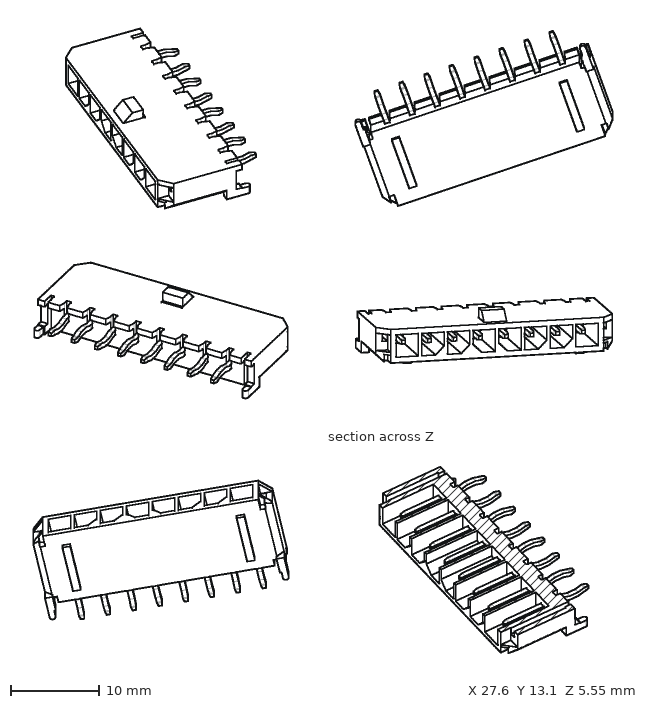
import cadquery as cq

length = 27.65
tail_end_y = 13.08
foot_height = 0.5
housing_top = 4.42
latch_top = 5.55
wall = 0.65
roof_back_y = 9.9
body_back_y = 9.18
roof_underside = 3.68

contact_count = 8
row_span = 21.01
pitch = row_span / (contact_count - 1)
contact_size = 0.6
contact_front_y = 2.2
cavity_size = housing_top - foot_height - 2 * wall
cavity_depth = 6.9
cavity_key = 1.0
key_sides = [0, 1, 1, -1, -1, 1, 1, 0]
row_z = (foot_height + housing_top) / 2
row_x = [(i - (contact_count - 1) / 2) * pitch for i in range(contact_count)]

kink_rise = 0.263
kink_y = [9.65, 10.48, 11.59, 12.41]
tip_length = 0.53
tip_size = 0.41

contact_slot_y = 8.57
notch_mouth = 1.0

corner_size = 1.38
pocket_floor = 1.75
pocket_roof = housing_top - wall
relief_x = 0.77
relief_top = 1.4

foot_width = 0.88
foot_front_y = 8.0
foot_top = 1.08
bevel = 0.83
slot_inner_x = 1.33
slot_front_y = 8.4
toe_width = 0.7
toe_top = 1.0
toe_end_y = 11.0
channel_outer_x = 0.72
channel_floor = 2.76

rib_width = 0.9
rib_x = 10.06
rib_front_y = 1.65
rib_back_y = 7.7

latch_width = 2.63
latch_front_y = 0.83
latch_crest_y = 2.0
latch_back_y = 3.32
recess_back_y = 3.6
recess_depth = 0.15


def block(x_range, y_range, z_range):
    """Box spanning the given ranges."""
    spans = [r[1] - r[0] for r in (x_range, y_range, z_range)]
    return cq.Workplane("XY").box(*spans, centered=False).translate((x_range[0], y_range[0], z_range[0]))


def side_profile(points, width):
    """Extrude a (Y, Z) outline along X, centred on X = 0."""
    return cq.Workplane("YZ").polyline(points).close().extrude(width / 2, both=True)


def make_shell():
    """Chamfered block with a roof overhanging its back face."""
    half = length / 2
    outline = [
        (-half, roof_back_y),
        (-half, corner_size),
        (-half + corner_size, 0),
        (half - corner_size, 0),
        (half, corner_size),
        (half, roof_back_y),
    ]
    shell = (
        cq.Workplane("XY").workplane(offset=foot_height)
        .polyline(outline).close().extrude(housing_top - foot_height)
    )
    return shell.cut(block((-half, half), (body_back_y, roof_back_y), (foot_height, roof_underside)))


def make_cavity(x, key_side):
    """Square cavity open to the mating face, with one lower corner cut off where it is keyed."""
    low = -cavity_size / 2
    high = cavity_size / 2
    if key_side == 0:
        points = [(low, low), (high, low), (high, high), (low, high)]
    else:
        points = [
            (low * key_side, low),
            ((high - cavity_key) * key_side, low),
            (high * key_side, low + cavity_key),
            (high * key_side, high),
            (low * key_side, high),
        ]
    profile = cq.Workplane("XZ", origin=(x, 0, row_z)).polyline(points).close()
    return profile.extrude(-cavity_depth)


def make_contact_notch(x):
    """Flared notch through the roof and the slot that seats the contact below it."""
    seat = contact_size / 2
    mouth = notch_mouth / 2
    points = [
        (x - seat, contact_slot_y),
        (x + seat, contact_slot_y),
        (x + seat, body_back_y),
        (x + mouth, roof_back_y),
        (x - mouth, roof_back_y),
        (x - seat, body_back_y),
    ]
    floor = row_z - seat
    return cq.Workplane("XY").workplane(offset=floor).polyline(points).close().extrude(housing_top - floor)


def make_end_cuts():
    """Everything removed at the -X end: corner pocket, relief, channel, slot and lower bevel."""
    end = -length / 2
    pocket = block((end, end + corner_size), (0, corner_size), (pocket_floor, pocket_roof))
    relief = block((end + relief_x, end + corner_size), (0, corner_size), (foot_height, relief_top))
    channel = block(
        (end + channel_outer_x, end + slot_inner_x),
        (corner_size, slot_front_y),
        (channel_floor, roof_underside),
    )
    slot = block(
        (end + foot_width, end + slot_inner_x),
        (slot_front_y, roof_back_y),
        (foot_height, housing_top),
    )
    bevel_wedge = (
        cq.Workplane("XZ")
        .polyline([(end, foot_height), (end + bevel, foot_height), (end, foot_height + bevel)]).close()
        .extrude(-foot_front_y)
    )
    return pocket.union(relief).union(channel).union(slot).union(bevel_wedge)


def make_foot():
    """Foot at the -X end with a round-nosed toe reaching behind the housing."""
    end = -length / 2
    heel = block((end, end + foot_width), (foot_front_y, roof_back_y), (0, foot_top))
    nose_y = toe_end_y - toe_width / 2
    toe = (
        cq.Workplane("XY")
        .moveTo(end, roof_back_y)
        .lineTo(end + toe_width, roof_back_y)
        .lineTo(end + toe_width, nose_y)
        .threePointArc((end + toe_width / 2, toe_end_y), (end, nose_y))
        .close().extrude(toe_top)
    )
    return heel.union(toe)


def make_rib():
    """Standoff rib under the -X half of the housing."""
    return block(
        (-rib_x - rib_width / 2, -rib_x + rib_width / 2),
        (rib_front_y, rib_back_y),
        (0, foot_height),
    )


def make_latch():
    """Ramped latch on the roof."""
    points = [
        (latch_front_y, housing_top),
        (latch_crest_y, latch_top),
        (latch_back_y, latch_top),
        (latch_back_y, housing_top),
    ]
    return side_profile(points, latch_width)


def make_latch_recess():
    """Shallow sloped recess in the roof just behind the latch."""
    points = [
        (latch_back_y, housing_top),
        (recess_back_y, housing_top),
        (recess_back_y, housing_top - recess_depth),
    ]
    return side_profile(points, latch_width)


def make_tip(start_y):
    """Blunt pyramid narrowing from the wire size towards +Y."""
    return (
        cq.Workplane("XZ", origin=(0, start_y, 0)).rect(contact_size, contact_size)
        .workplane(offset=-tip_length).rect(tip_size, tip_size)
        .loft(ruled=True)
    )


def make_contact_shape(kink_side):
    """Square wire along Y whose tail kinks up (+1) or down (-1), with tapered tips."""
    half = contact_size / 2
    shift = kink_rise * kink_side
    centre_line = [
        (contact_front_y, 0),
        (kink_y[0], 0),
        (kink_y[1], shift),
        (kink_y[2], shift),
        (kink_y[3], 0),
        (tail_end_y - tip_length, 0),
    ]
    top_edge = [(y, z + half) for y, z in centre_line]
    bottom_edge = [(y, z - half) for y, z in reversed(centre_line)]
    wire = side_profile(top_edge + bottom_edge, contact_size)
    tail_tip = make_tip(tail_end_y - tip_length)
    front_tip = make_tip(-contact_front_y).rotate((0, 0, 0), (0, 0, 1), 180)
    return wire.union(tail_tip).union(front_tip)


def make_contact(index):
    """Contact in its place in the row; neighbours kink in opposite directions."""
    kink_side = 1 if index % 2 == 0 else -1
    return make_contact_shape(kink_side).translate((row_x[index], 0, row_z))


def make_housing(contacts):
    """Housing with a matching hole for every contact."""
    housing = make_shell()
    end_cuts = make_end_cuts()
    housing = housing.cut(end_cuts).cut(end_cuts.mirror("YZ"))
    for addition in (make_foot(), make_rib()):
        housing = housing.union(addition).union(addition.mirror("YZ"))
    housing = housing.union(make_latch()).cut(make_latch_recess())
    for x, key_side in zip(row_x, key_sides):
        housing = housing.cut(make_cavity(x, key_side)).cut(make_contact_notch(x))
    for contact in contacts:
        housing = housing.cut(contact)
    return housing


contacts = [make_contact(i) for i in range(contact_count)]
housing = make_housing(contacts)

result = cq.Compound.makeCompound([housing.solids().val(), *[contact.solids().val() for contact in contacts]])